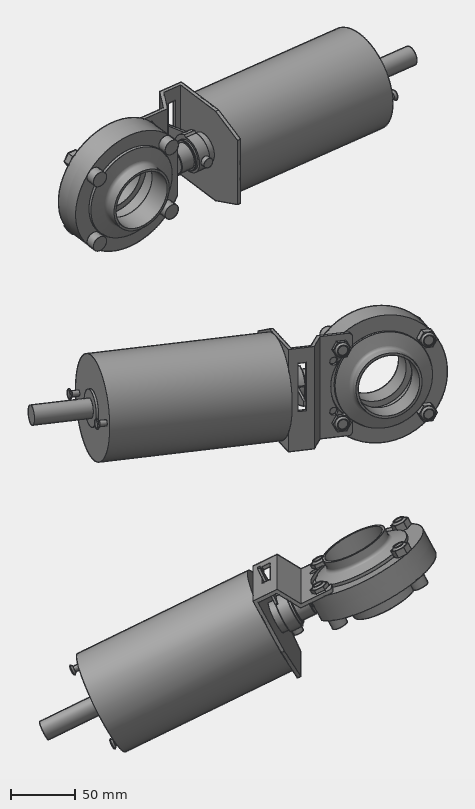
import cadquery as cq
import math


flange_diameter = 105.7
flange_thickness = 11
flange_flat_y = 47
raised_diameter = 79.5
raised_height = 2.5
cone_end_diameter = 58
cone_end_x = 16.7
ferrule_diameter = 54
ferrule_start_x = 19.7
ferrule_end_x = 26.3
bore_diameter = 50

groove_diameter = 60
groove_half_width = 7
stem_square = 8

bolt_y = 35.1
bolt_z = 30.6
bolt_positions = [(y, z) for y in (-bolt_y, bolt_y) for z in (-bolt_z, bolt_z)]
bolt_head_diameter = 13
bolt_head_height = 8
bolt_diameter = 8
bolt_end_recess = 0.5
nut_across_flats = 13
nut_hexagon_height = 6
nut_dome_diameter = 12
nut_end_diameter = 9
nut_dome_height = 1.9

coupling_diameter = 22
coupling_start_y = 51
hub_diameter = 26
hub_start_y = 63.2
shaft_chamfer = 0.5
housing_diameter = 85
housing_start_y = 84.3
housing_length = 149
washer_diameter = 30
washer_thickness = 2
rod_diameter = 16
rod_length = 50
screw_diameter = 5
screw_head_diameter = 9
screw_length = 8.4
screw_head_height = 2.5
screw_rim_chamfer = 0.8
screw_offset = 34
housing_end_y = housing_start_y + housing_length

collar_diameter = 30
collar_start_y = 65.3
collar_height = 10
collar_end_y = collar_start_y + collar_height
lug_diameter = 34
lug_width = 17
lug_angle = 135
pointer_thickness = 2
pointer_tip_x = -42.5
pointer_tip_width = 4.5
pointer_root_x = -13
pointer_root_width = 20
clamp_head_diameter = 8.5
clamp_head_end_x = 18.7

sheet = 3
bracket_height = 85
side_x = -33
side_end_y = 63.2
foot_x = -flange_thickness - sheet
foot_start_y = 52.2
foot_end_y = 25.8
foot_corner_radius = 3
foot_cutout_diameter = 66
foot_cutout_y = 10.5
foot_hole_diameter = 6.5
foot_hole_y = 41
foot_hole_z = 20.8
plate_end_x = housing_diameter / 2
plate_end_height = 61
plate_taper_x = 14.5
slot_y = (69.4, 76.4)
slot_z = (-10, 30)


def rod_along_x(diameter, x_start, x_end, y=0, z=0):
    """Cylinder along X."""
    disc = cq.Workplane("YZ", origin=(x_start, 0, 0)).center(y, z).circle(diameter / 2)
    return disc.extrude(x_end - x_start)


def rod_along_y(diameter, y_start, y_end, x=0):
    """Cylinder along Y."""
    disc = cq.Workplane("XZ", origin=(x, y_start, 0)).circle(diameter / 2)
    return disc.extrude(y_start - y_end)


def block(x_range, y_range, z_range):
    """Box between the given limits."""
    size = [high - low for low, high in (x_range, y_range, z_range)]
    corner = (x_range[0], y_range[0], z_range[0])
    return cq.Workplane("XY", origin=corner).box(*size, centered=False)


def make_hexagon(y, z, height):
    """Hexagonal prism standing on the -X flange face, corners toward +Y and -Y."""
    corner_diameter = nut_across_flats / math.cos(math.pi / 6)
    outline = cq.Workplane("YZ", origin=(-flange_thickness, y, z)).polygon(6, corner_diameter)
    return outline.extrude(-height)


def make_bolt(y, z):
    """Cylinder head on the +X face, shank through the flange, domed nut on the -X face."""
    nut_face_x = -flange_thickness - nut_hexagon_height
    nut_end_x = nut_face_x - nut_dome_height
    dome = (
        cq.Workplane("YZ", origin=(nut_face_x, y, z))
        .circle(nut_dome_diameter / 2)
        .workplane(offset=-nut_dome_height)
        .circle(nut_end_diameter / 2)
        .loft()
    )
    bolt_end = rod_along_x(bolt_diameter, nut_end_x, nut_end_x + bolt_end_recess, y, z)
    shank = rod_along_x(bolt_diameter, -flange_thickness, flange_thickness, y, z)
    head = rod_along_x(bolt_head_diameter, flange_thickness, flange_thickness + bolt_head_height, y, z)
    nut = make_hexagon(y, z, nut_hexagon_height).union(dome).cut(bolt_end)
    return shank.union(head).union(nut)


bolts = [make_bolt(y, z) for y, z in bolt_positions]


def make_flange():
    """Half of the valve body on the +X side."""
    raised_x = flange_thickness + raised_height
    profile = (
        cq.Workplane("XY")
        .moveTo(ferrule_end_x, bore_diameter / 2)
        .lineTo(ferrule_end_x, ferrule_diameter / 2)
        .lineTo(ferrule_start_x, ferrule_diameter / 2)
        .tangentArcPoint((cone_end_x, cone_end_diameter / 2), relative=False)
        .lineTo(raised_x, raised_diameter / 2)
        .lineTo(flange_thickness, raised_diameter / 2)
        .lineTo(flange_thickness, flange_diameter / 2)
        .lineTo(0, flange_diameter / 2)
        .lineTo(0, bore_diameter / 2)
        .close()
    )
    flange = profile.revolve(360, (0, 0, 0), (1, 0, 0))
    beyond_flat = block(
        (0, flange_thickness),
        (flange_flat_y, flange_diameter),
        (-flange_diameter / 2, flange_diameter / 2),
    )
    return flange.cut(beyond_flat)


def make_valve():
    half = make_flange()
    body = half.union(half.mirror("YZ"), clean=False)
    square_half = (-stem_square / 2, stem_square / 2)
    stem = block(square_half, (flange_flat_y, coupling_start_y), square_half)
    body = body.union(stem, clean=False)
    groove = rod_along_x(groove_diameter, -groove_half_width, groove_half_width)
    body = body.cut(groove, clean=False)
    for bolt in bolts:
        body = body.cut(bolt, clean=False)
    return body


valve = make_valve()


def make_end_screw(x):
    """Screw standing on the rear face, its head flaring out from the shank."""
    tip_y = housing_end_y + screw_length
    shank_radius = screw_diameter / 2
    head_radius = screw_head_diameter / 2
    outline = [
        (0, housing_end_y),
        (shank_radius, housing_end_y),
        (shank_radius, tip_y - screw_head_height),
        (head_radius, tip_y - screw_rim_chamfer),
        (head_radius - screw_rim_chamfer, tip_y),
        (0, tip_y),
    ]
    screw = cq.Workplane("XY").polyline(outline).close().revolve(360, (0, 0, 0), (0, 1, 0))
    return screw.translate((x, 0, 0))


def make_actuator():
    coupling = rod_along_y(coupling_diameter, coupling_start_y, hub_start_y)
    coupling = coupling.faces("<Y").chamfer(shaft_chamfer)
    hub = rod_along_y(hub_diameter, hub_start_y, housing_start_y).faces("<Y").chamfer(shaft_chamfer)
    housing = rod_along_y(housing_diameter, housing_start_y, housing_end_y)
    washer = rod_along_y(washer_diameter, housing_end_y, housing_end_y + washer_thickness)
    rod = rod_along_y(rod_diameter, housing_end_y, housing_end_y + rod_length)
    body = housing.union(hub).union(coupling).union(washer).union(rod)
    for x in (-screw_offset, screw_offset):
        body = body.union(make_end_screw(x))
    return body


def make_indicator():
    """Collar around the hub with a lug, a pointer and the head of its clamp screw."""
    collar = rod_along_y(collar_diameter, collar_start_y, collar_end_y)
    lug_bar = block((0, lug_diameter), (collar_start_y, collar_end_y), (-lug_width / 2, lug_width / 2))
    lug_bar = lug_bar.rotate((0, 0, 0), (0, 1, 0), -lug_angle)
    lug = rod_along_y(lug_diameter, collar_start_y, collar_end_y).intersect(lug_bar)
    pointer = (
        cq.Workplane("XZ", origin=(0, collar_end_y, 0))
        .polyline([
            (pointer_tip_x, -pointer_tip_width / 2),
            (pointer_root_x, -pointer_root_width / 2),
            (0, 0),
            (pointer_root_x, pointer_root_width / 2),
            (pointer_tip_x, pointer_tip_width / 2),
        ])
        .close()
        .extrude(pointer_thickness)
    )
    clamp_head = rod_along_x(clamp_head_diameter, 0, clamp_head_end_x, collar_end_y - clamp_head_diameter / 2)
    body = collar.union(lug).union(pointer).union(clamp_head)
    return body.cut(rod_along_y(hub_diameter, collar_start_y, collar_end_y))


actuator = make_actuator().union(make_indicator())


def make_bracket():
    slope_angle = math.atan2(side_end_y - foot_start_y, foot_x - side_x)
    fold_shift = sheet * math.tan(math.pi / 4 - slope_angle / 2)
    strip = (
        cq.Workplane("XY", origin=(0, 0, -bracket_height / 2))
        .polyline([
            (plate_end_x, housing_start_y),
            (side_x, housing_start_y),
            (side_x, side_end_y),
            (foot_x, foot_start_y),
            (foot_x, foot_end_y),
            (foot_x + sheet, foot_end_y),
            (foot_x + sheet, foot_start_y + fold_shift),
            (side_x + sheet, side_end_y + fold_shift),
            (side_x + sheet, housing_start_y - sheet),
            (plate_end_x, housing_start_y - sheet),
        ])
        .close()
        .extrude(bracket_height)
    )
    strip = strip.edges("|X and <Y").fillet(foot_corner_radius)

    for side in (-1, 1):
        plate_corner = (
            cq.Workplane("XZ", origin=(0, housing_start_y, 0))
            .polyline([
                (plate_taper_x, side * bracket_height / 2),
                (plate_end_x, side * bracket_height / 2),
                (plate_end_x, side * plate_end_height / 2),
            ])
            .close()
            .extrude(sheet)
        )
        foot_hole = rod_along_x(foot_hole_diameter, foot_x, foot_x + sheet, foot_hole_y, side * foot_hole_z)
        strip = strip.cut(plate_corner).cut(foot_hole)

    slot = block((side_x, side_x + sheet), slot_y, slot_z)
    foot_cutout = rod_along_x(foot_cutout_diameter, foot_x, foot_x + sheet, foot_cutout_y)
    rim_cutout = rod_along_x(raised_diameter, foot_x, foot_x + sheet)
    hub_hole = rod_along_y(hub_diameter, housing_start_y - sheet, housing_start_y)
    strip = strip.cut(slot).cut(foot_cutout).cut(rim_cutout).cut(hub_hole)
    for z in (-bolt_z, bolt_z):
        strip = strip.cut(make_hexagon(bolt_y, z, sheet))
    return strip


bracket = make_bracket()

bodies = [valve, *bolts, actuator, bracket]
result = cq.Compound.makeCompound([body.solids().val() for body in bodies])